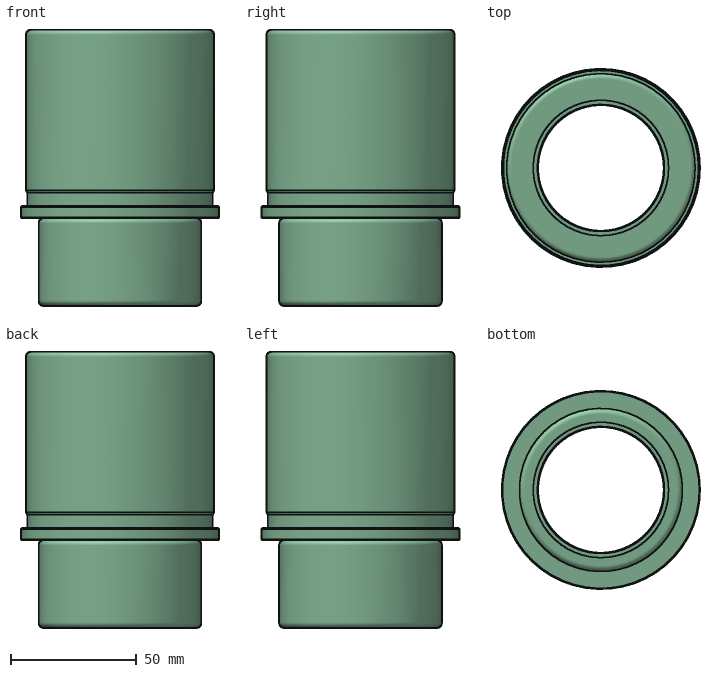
import cadquery as cq

total_height = 110.0
flange_bottom = 35.0
flange_top = 40.0
groove_top = 45.1
taper_height = 1.1

body_radius = 37.5
groove_radius = 37.0
flange_radius = 39.5
neck_radius = 32.5

liner_radius = 27.0
bore_radius = 25.0

edge_fillet = 2.0
foot_fillet = 2.2
flange_chamfer = 0.7
flange_lower_chamfer = 0.3
bore_chamfer = 0.3


def cylinder(radius, bottom, top):
    """Solid cylinder about Z between two heights."""
    return cq.Workplane("XY").workplane(offset=bottom).circle(radius).extrude(top - bottom)


def make_neck():
    """Lower spigot, rounded at its foot and just under the flange."""
    neck = cylinder(neck_radius, 0, flange_bottom)
    neck = neck.faces(">Z").edges().fillet(edge_fillet)
    return neck.faces("<Z").edges().fillet(foot_fillet)


def make_flange():
    """Locating collar with a small chamfer on each rim."""
    flange = cylinder(flange_radius, flange_bottom, flange_top)
    flange = flange.faces(">Z").edges().chamfer(flange_chamfer)
    return flange.faces("<Z").edges().chamfer(flange_lower_chamfer)


def make_upper_body():
    """Main barrel with a rounded top and a short taper down to the groove."""
    barrel = cylinder(body_radius, groove_top, total_height)
    barrel = barrel.faces(">Z").edges().fillet(edge_fillet)
    return barrel.faces("<Z").edges().chamfer(taper_height, body_radius - groove_radius)


def make_housing():
    """Stepped outer sleeve with a through hole for the liner."""
    groove = cylinder(groove_radius, flange_top, groove_top)
    outside = make_neck().union(make_flange()).union(groove).union(make_upper_body())
    return outside.cut(cylinder(liner_radius, 0, total_height))


def make_liner():
    """Full-length bushing with the bore chamfered at both ends."""
    liner = cylinder(liner_radius, 0, total_height).cut(cylinder(bore_radius, 0, total_height))
    bore_rims = cq.selectors.RadiusNthSelector(0)
    return liner.faces("<Z or >Z").edges("%CIRCLE").edges(bore_rims).chamfer(bore_chamfer)


housing = make_housing()
liner = make_liner()

result = cq.Compound.makeCompound([housing.val(), liner.val()])